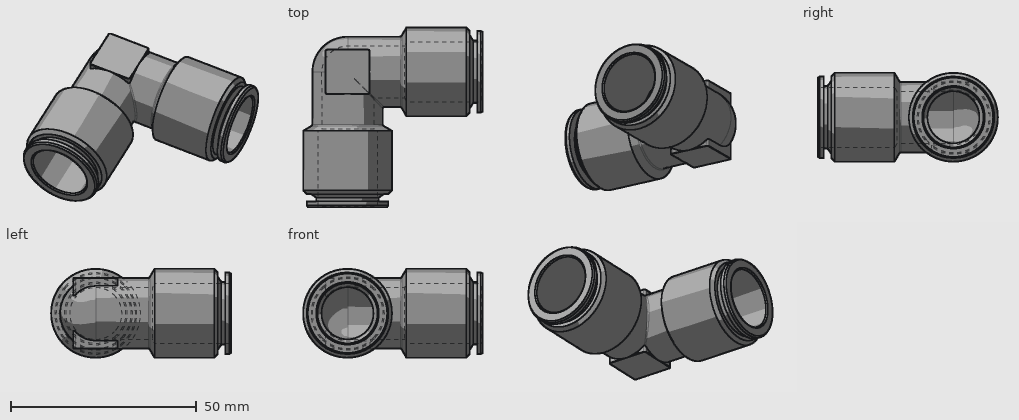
import cadquery as cq

overall_length = 48.5
body_radius = 24.0 / 2
arm_length = overall_length - body_radius

neck_radius = 19.0 / 2
shoulder_radius = 22.0 / 2
shoulder_inner_radius = 9.85
sleeve_radius = 16.95 / 2
flange_radius = 22.0 / 2
flange_edge_radius = 10.65

flange_edge = 0.55
flange_back = 1.6
nose_end = 2.6
shoulder_face = 3.55
body_front = 4.55
body_back = 20.6
cone_foot = 22.05
neck_joint = 23.3

cone_root_radius = 0.5

mouth_radius = 16.95 / 2
socket_radius = 16.15 / 2
passage_radius = 14.0 / 2
mouth_chamfer = mouth_radius - socket_radius
socket_depth = body_back
socket_taper = 0.6

pad_side = 12.05
pad_height = 2 * neck_radius
pad_corner_radius = 0.6
pad_chamfer = 0.1

crotch_radius = 0.4


def revolve_arm(profile):
    """Revolve (distance from the open end, radius) points into an arm along +X."""
    points = [(arm_length - distance, radius) for distance, radius in profile]
    start = (points[0][0], 0)
    end = (points[-1][0], 0)
    outline = cq.Workplane("XY").polyline([start] + points + [end]).close()
    return outline.revolve(360, (0, 0, 0), (1, 0, 0))


def both_arms(arm):
    """Join an arm along +X with its copy turned to point along -Y."""
    return arm.union(arm.rotate((0, 0, 0), (0, 0, 1), -90))


def elbow_core(radius, length):
    """Two round arms meeting at a ball of the same radius."""
    arm = cq.Workplane("YZ").circle(radius).extrude(length)
    return both_arms(arm).union(cq.Workplane("XY").sphere(radius))


def elbow_necks():
    """Outer elbow with its inner crotch rounded."""
    core = elbow_core(neck_radius, arm_length - neck_joint)
    clearance = 0.05
    reach = neck_radius + clearance
    crotch = cq.selectors.BoxSelector(
        (clearance, -reach, -reach),
        (reach, -clearance, reach),
    )
    return core.edges(crotch).fillet(crotch_radius)


def fitting_body():
    """Stepped outside of one arm: cone, body, nose, release sleeve and flange."""
    fitting = revolve_arm([
        (neck_joint, neck_radius),
        (cone_foot, neck_radius),
        (body_back, body_radius),
        (body_front, body_radius),
        (shoulder_face, shoulder_radius),
        (shoulder_face, shoulder_inner_radius),
        (nose_end, sleeve_radius),
        (flange_back, sleeve_radius),
        (flange_back, flange_radius),
        (flange_edge, flange_radius),
        (0, flange_edge_radius),
    ])
    margin = 0.05
    foot_x = arm_length - cone_foot
    cone_root = cq.selectors.BoxSelector(
        (foot_x - margin, -body_radius, -body_radius),
        (foot_x + margin, body_radius, body_radius),
    )
    return fitting.edges(cone_root).fillet(cone_root_radius)


def tube_socket():
    """Tube socket with a chamfered mouth and a tapered bottom."""
    return revolve_arm([
        (socket_depth + socket_taper, passage_radius),
        (socket_depth, socket_radius),
        (mouth_chamfer, socket_radius),
        (0, mouth_radius),
    ])


def square_pads():
    """Upright square block whose chamfered ends make flat pads on the elbow."""
    block = cq.Workplane("XY").box(pad_side, pad_side, pad_height)
    rounded = block.edges("|Z").fillet(pad_corner_radius)
    return rounded.faces("<Z or >Z").chamfer(pad_chamfer)


outside = elbow_necks().union(both_arms(fitting_body())).union(square_pads())
passage = elbow_core(passage_radius, arm_length)
result = outside.cut(passage).cut(both_arms(tube_socket()))